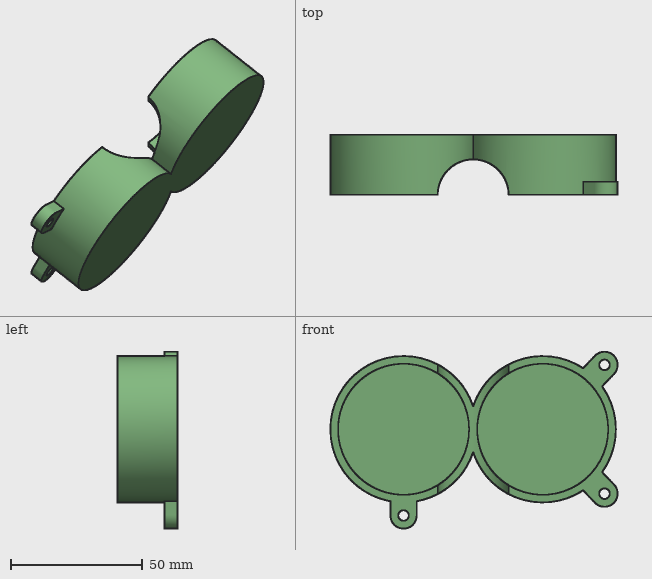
import cadquery as cq
import math

outer_radius = 27.9
inner_radius = 25.0
cup_spacing = 53.0
depth = 23.0
floor_thickness = 3.0

notch_radius = 13.5

lug_radius = 5.0
lug_thickness = 5.0
lug_hole_radius = 2.0
lower_lug_reach = 32.9
side_lug_dx = 23.6
side_lug_dz = 24.5

side_lug_reach = math.hypot(side_lug_dx, side_lug_dz)
side_lug_angle = math.degrees(math.atan2(side_lug_dz, side_lug_dx))

rim_plane = cq.Workplane("XZ")


def cup_cylinders(radius, length):
    """Cylinders on both cup axes, starting at the rim."""
    left = rim_plane.circle(radius).extrude(-length)
    right = left.translate((cup_spacing, 0, 0))
    return left.union(right)


def lug(cup_x, reach, angle):
    """Round-ended lug pointing away from a cup axis, with its screw hole."""
    arm = rim_plane.center(reach / 2, 0).rect(reach, 2 * lug_radius).extrude(-lug_thickness)
    end = rim_plane.center(reach, 0).circle(lug_radius).extrude(-lug_thickness)
    hole = rim_plane.center(reach, 0).circle(lug_hole_radius).extrude(-lug_thickness)
    body = arm.union(end).cut(hole)
    return body.rotate((0, 0, 0), (0, -1, 0), angle).translate((cup_x, 0, 0))


def wall_notch():
    """Cylinder along Z, centred on the rim midway between the cups."""
    return (
        cq.Workplane("XY")
        .center(cup_spacing / 2, 0)
        .circle(notch_radius)
        .extrude(outer_radius, both=True)
    )


result = cup_cylinders(outer_radius, depth)
result = result.union(lug(0, lower_lug_reach, -90))
for angle in (side_lug_angle, -side_lug_angle):
    result = result.union(lug(cup_spacing, side_lug_reach, angle))
result = result.cut(cup_cylinders(inner_radius, depth - floor_thickness))
result = result.cut(wall_notch())